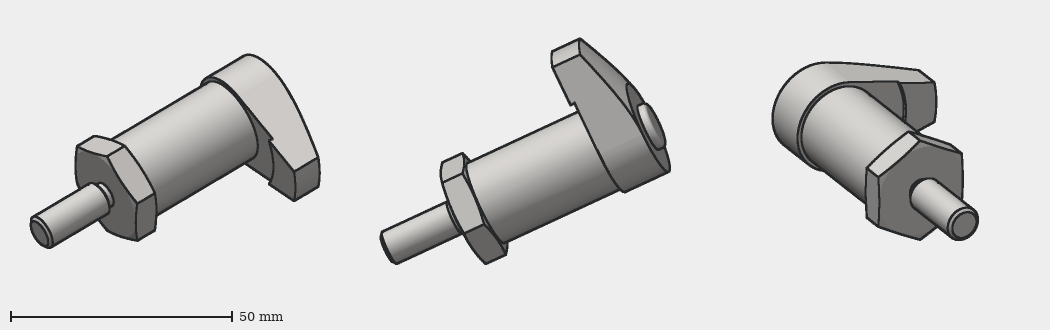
import cadquery as cq
import math

total_length = 68.0

stud_diameter = 8.0
stud_tip_inset = 0.8
stud_tip_length = 0.7
neck_diameter = 6.0
neck_length = 2.0
neck_cone_angle = 30.0

hex_across_flats = 22.0
hex_thickness = 6.0
hex_chamfer_angle = 15.0

body_diameter = 20.0
body_length = 30.0

head_diameter = hex_across_flats
head_length = 11.0
arm_reach = 25.0
arm_taper_angle = 14.5
arm_back_drop = 5.0
pad_inner_radius = 17.0
pad_height = 1.0

cap_diameter = 11.0
cap_height = 2.0
cap_edge_radius = 0.95

head_radius = head_diameter / 2
stud_radius = stud_diameter / 2
neck_radius = neck_diameter / 2
head_back = total_length - cap_height
head_front = head_back - head_length
hex_back = head_front - body_length
hex_front = hex_back - hex_thickness
stud_shoulder = hex_front - neck_length


def cylinder(diameter, start, end):
    """Cylinder on the Y axis between two positions."""
    return cq.Workplane("XZ", origin=(0, end, 0)).circle(diameter / 2).extrude(end - start)


def revolved(profile):
    """Solid of revolution from (radius, y) points."""
    return cq.Workplane("XY").polyline(profile).close().revolve(360, (0, 0, 0), (0, 1, 0))


def make_stud():
    neck_cone_length = (stud_radius - neck_radius) * math.tan(math.radians(neck_cone_angle))
    return revolved([
        (0, 0),
        (stud_radius - stud_tip_inset, 0),
        (stud_radius, stud_tip_length),
        (stud_radius, stud_shoulder),
        (neck_radius, stud_shoulder + neck_cone_length),
        (neck_radius, hex_front),
        (0, hex_front),
    ])


def make_hex():
    """Hexagon with corners on Z, turned down to a cone at both end faces."""
    flat_radius = hex_across_flats / 2
    corner_radius = flat_radius / math.cos(math.radians(30))
    chamfer_depth = (corner_radius - flat_radius) * math.tan(math.radians(hex_chamfer_angle))
    prism = (
        cq.Workplane("XZ", origin=(0, hex_back, 0))
        .transformed(rotate=(0, 0, 90))
        .polygon(6, 2 * corner_radius)
        .extrude(hex_thickness)
    )
    envelope = revolved([
        (0, hex_front),
        (flat_radius, hex_front),
        (corner_radius, hex_front + chamfer_depth),
        (corner_radius, hex_back - chamfer_depth),
        (flat_radius, hex_back),
        (0, hex_back),
    ])
    return prism.intersect(envelope)


def make_head():
    """Round head with a tapered arm towards +X, a conical back and a raised tip pad."""
    taper = math.radians(arm_taper_angle)
    tangent_x = head_radius * math.sin(taper)
    tangent_z = head_radius * math.cos(taper)
    side_length = math.sqrt(arm_reach**2 - head_radius**2)
    tip_x = tangent_x + side_length * math.cos(taper)
    tip_z = tangent_z - side_length * math.sin(taper)
    outline = (
        cq.Workplane("XZ", origin=(0, head_back, 0))
        .moveTo(tangent_x, tangent_z)
        .lineTo(tip_x, tip_z)
        .threePointArc((arm_reach, 0), (tip_x, -tip_z))
        .lineTo(tangent_x, -tangent_z)
        .threePointArc((-head_radius, 0), (tangent_x, tangent_z))
        .close()
        .extrude(head_length + pad_height)
    )
    envelope = revolved([
        (0, head_front),
        (pad_inner_radius, head_front),
        (pad_inner_radius, head_front - pad_height),
        (arm_reach, head_front - pad_height),
        (arm_reach, head_back - arm_back_drop),
        (head_radius, head_back),
        (0, head_back),
    ])
    return outline.intersect(envelope)


def make_cap():
    return cylinder(cap_diameter, head_back, total_length).faces(">Y").edges().fillet(cap_edge_radius)


body = cylinder(body_diameter, hex_back, head_front)
result = make_stud().union(make_hex()).union(body).union(make_head()).union(make_cap())